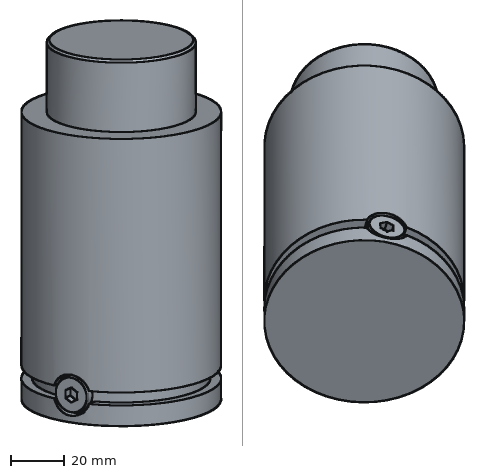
import cadquery as cq
import math

total_height = 140.0
body_height = 112.0
body_radius = 37.5
rod_radius = 28.0
rod_chamfer = 1.0

groove_bottom = 8.1
groove_top = 13.2
groove_radius = 33.5

plug_height = (groove_bottom + groove_top) / 2
plug_radius = 7.0
plug_face = 37.1
plug_chamfer_width = 0.3
plug_chamfer_length = 1.0
pocket_radius = 8.0
plug_root = 33.3
hex_across_flats = 5.0
cut_clearance = 1.4


def facing_front(distance):
    """Plane at a distance from the axis, centred on the plug, facing -Y."""
    return cq.Workplane("XZ", origin=(0, -distance, plug_height))


def make_body():
    body = cq.Workplane("XY").circle(body_radius).extrude(body_height)
    rod = cq.Workplane("XY").circle(rod_radius).extrude(total_height)
    return body.union(rod.faces(">Z").chamfer(rod_chamfer))


def make_groove():
    ring = cq.Workplane("XY").workplane(offset=groove_bottom)
    ring = ring.circle(body_radius + cut_clearance).circle(groove_radius)
    return ring.extrude(groove_top - groove_bottom)


def make_pocket():
    depth = body_radius + cut_clearance
    core = cq.Workplane("XY").circle(groove_radius).extrude(body_height)
    return facing_front(0).circle(pocket_radius).extrude(depth).cut(core)


def make_plug():
    face_radius = plug_radius - plug_chamfer_width
    section = [
        (0, -plug_root),
        (plug_radius, -plug_root),
        (plug_radius, -plug_face + plug_chamfer_length),
        (face_radius, -plug_face),
        (0, -plug_face),
    ]
    plug = cq.Workplane("XY").polyline(section).close().revolve(360, (0, 0, 0), (0, 1, 0))
    plug = plug.translate((0, 0, plug_height))
    return plug.cut(make_hex_socket())


def make_hex_socket():
    corner_diameter = hex_across_flats / math.cos(math.pi / 6)
    start = facing_front(plug_root).transformed(rotate=(0, 0, 90))
    return start.polygon(6, corner_diameter).extrude(plug_face - plug_root)


result = make_body().cut(make_groove()).cut(make_pocket())
result = result.union(make_plug())